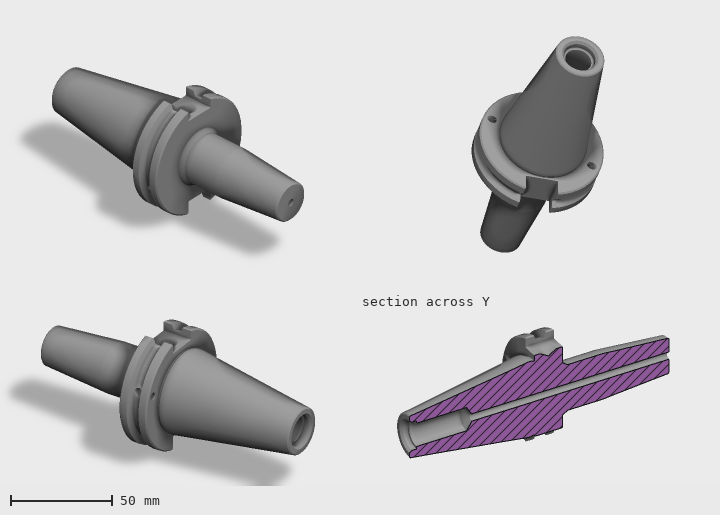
import cadquery as cq
import math

length = 148.2
gauge_x = 68.0
relief_start_x = 69.7
relief_end_x = 70.4
flange_start_x = 71.2
groove_x = 79.3
flange_end_x = 87.5
nose_cone_x = 110.3

gauge_radius = 22.2
taper_ratio = 7 / 24
taper_end_radius = gauge_radius - gauge_x * taper_ratio / 2
relief_radius = 43.6 / 2
shank_chamfer = 0.6

flange_radius = 31.7
flange_chamfer = 0.7
groove_floor_radius = 28.3
groove_floor_width = 3.9
groove_wall_run = 1.6

nose_radius = 27.0 / 2
nose_tip_radius = 21.0 / 2
nose_tip_chamfer = 0.7
collar_radius = 15.4
collar_length = 2.8

mouth_radius = 18.5 / 2
mouth_length = 1.3
pilot_radius = 16.3 / 2
pilot_depth = 4.0
thread_radius = 13.3 / 2
thread_depth = 32.6
drill_cone_length = 3.0
through_radius = 4.0 / 2

slot_width = 16.2
top_slot_z = 24.9
bottom_slot_z = -22.7
slot_edge_z = 30.0
slot_floor_fillet = 0.3
dimple_diameter = 9.5
dimple_depth = 2.8

radial_diameter = 4.0
coolant_diameter = 3.3
coolant_seat_diameter = 4.2
coolant_seat_depth = 1.8
coolant_radius = 27.1
coolant_angle = 20.0
coolant_slant = 35.0
coolant_bottom_radius = coolant_radius - (groove_x - flange_start_x) * math.tan(math.radians(coolant_slant))


def make_body():
    """Revolve the outer profile about the X axis."""
    half_floor = groove_floor_width / 2
    half_mouth = half_floor + groove_wall_run
    profile = (
        cq.Workplane("XY")
        .moveTo(0, 0)
        .lineTo(0, taper_end_radius - shank_chamfer)
        .lineTo(shank_chamfer, taper_end_radius + shank_chamfer * taper_ratio / 2)
        .lineTo(gauge_x, gauge_radius)
        .lineTo(relief_start_x, gauge_radius)
        .lineTo(relief_end_x, relief_radius)
        .lineTo(flange_start_x, relief_radius)
        .lineTo(flange_start_x, flange_radius - flange_chamfer)
        .lineTo(flange_start_x + flange_chamfer, flange_radius)
        .lineTo(groove_x - half_mouth, flange_radius)
        .lineTo(groove_x - half_floor, groove_floor_radius)
        .lineTo(groove_x + half_floor, groove_floor_radius)
        .lineTo(groove_x + half_mouth, flange_radius)
        .lineTo(flange_end_x - flange_chamfer, flange_radius)
        .lineTo(flange_end_x, flange_radius - flange_chamfer)
        .lineTo(flange_end_x, collar_radius)
        .lineTo(flange_end_x + collar_length, nose_radius)
        .lineTo(nose_cone_x, nose_radius)
        .lineTo(length - nose_tip_chamfer, nose_tip_radius)
        .lineTo(length, nose_tip_radius - nose_tip_chamfer)
        .lineTo(length, 0)
        .close()
    )
    return profile.revolve(360, (0, 0, 0), (1, 0, 0))


def make_bore():
    """Countersunk pilot, thread core hole with a drill cone, and a through hole."""
    profile = (
        cq.Workplane("XY")
        .moveTo(0, 0)
        .lineTo(0, mouth_radius)
        .lineTo(mouth_length, pilot_radius)
        .lineTo(pilot_depth, pilot_radius)
        .lineTo(pilot_depth, thread_radius)
        .lineTo(thread_depth, thread_radius)
        .lineTo(thread_depth + drill_cone_length, through_radius)
        .lineTo(length, through_radius)
        .lineTo(length, 0)
        .close()
    )
    return profile.revolve(360, (0, 0, 0), (1, 0, 0))


def make_slot(floor_z):
    """Drive slot running the full flange width, with its outer edges broken at 45 degrees."""
    side = math.copysign(1, floor_z)
    half = slot_width / 2
    flare = flange_radius - slot_edge_z
    outline = [
        (-half, floor_z),
        (half, floor_z),
        (half, side * slot_edge_z),
        (half + flare, side * flange_radius),
        (-half - flare, side * flange_radius),
        (-half, side * slot_edge_z),
    ]
    slot = (
        cq.Workplane("YZ", origin=(flange_start_x, 0, 0))
        .polyline(outline)
        .close()
        .extrude(flange_end_x - flange_start_x)
    )
    floor_face = "<Z" if floor_z > 0 else ">Z"
    return slot.faces(floor_face).edges("|X").fillet(slot_floor_fillet)


def make_dimple():
    """Conical dimple in the floor of the upper slot."""
    return cq.Workplane(
        cq.Solid.makeCone(
            dimple_diameter / 2, 0, dimple_depth,
            pnt=cq.Vector(groove_x, 0, top_slot_z), dir=cq.Vector(0, 0, -1),
        )
    )


def make_coolant_hole():
    """Stepped slanted hole and radial hole in the +Y half, lying in the XY plane before rotation."""
    slant = math.radians(coolant_slant)
    direction = cq.Vector(math.cos(slant), -math.sin(slant), 0)
    entry_point = cq.Vector(flange_start_x, coolant_radius, 0)
    meeting_point = cq.Vector(groove_x, coolant_bottom_radius, 0)
    slant_length = (groove_x - flange_start_x) / math.cos(slant)
    lead_in = coolant_seat_diameter
    seat = cq.Solid.makeCylinder(
        coolant_seat_diameter / 2, lead_in + coolant_seat_depth,
        entry_point - direction * lead_in, direction,
    )
    slanted = cq.Solid.makeCylinder(coolant_diameter / 2, slant_length, entry_point, direction)
    radial = cq.Solid.makeCylinder(
        radial_diameter / 2, flange_radius - coolant_bottom_radius,
        meeting_point, cq.Vector(0, 1, 0),
    )
    return cq.Workplane(seat).union(cq.Workplane(slanted)).union(cq.Workplane(radial))


result = make_body().cut(make_bore())
for floor_z in (top_slot_z, bottom_slot_z):
    result = result.cut(make_slot(floor_z))
result = result.cut(make_dimple())
for angle in (coolant_angle, coolant_angle + 180):
    result = result.cut(make_coolant_hole().rotate((0, 0, 0), (1, 0, 0), angle))